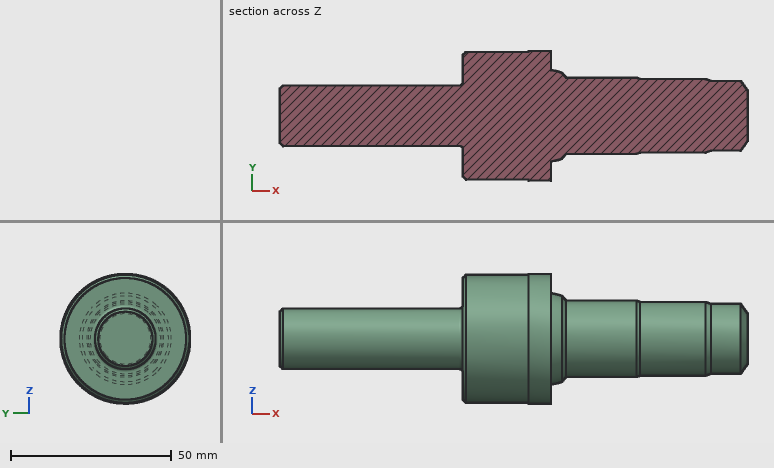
import cadquery as cq

shank_radius = 9.5
shank_chamfer = 1.0
shank_root_fillet = 1.0

body_start = 57.1
body_radius = 20.0
body_chamfer = 1.0
flange_start = 77.5
flange_end = 84.7
flange_radius = 20.3

shoulder_end = 88.0
shoulder_base_radius = 14.3
shoulder_tip_radius = 13.5
shoulder_bulge = 0.1

spigot_start = 89.4
large_radius = 12.0
large_end = 111.3
middle_start = 112.5
middle_radius = 11.5
middle_end = 132.9
small_start = 134.5
small_radius = 11.0
total_length = 146.0
tip_length = 2.2
tip_radius = 7.9


def middle_of_bulged_line(start, end, bulge):
    """Midpoint of a line, raised away from the axis to define a shallow arc."""
    return ((start[0] + end[0]) / 2, (start[1] + end[1]) / 2 + bulge)


shoulder_base = (flange_end, shoulder_base_radius)
shoulder_tip = (shoulder_end, shoulder_tip_radius)

profile = (
    cq.Workplane("XY")
    .moveTo(0, 0)
    .lineTo(0, shank_radius - shank_chamfer)
    .lineTo(shank_chamfer, shank_radius)
    .lineTo(body_start - shank_root_fillet, shank_radius)
    .radiusArc((body_start, shank_radius + shank_root_fillet), -shank_root_fillet)
    .lineTo(body_start, body_radius - body_chamfer)
    .lineTo(body_start + body_chamfer, body_radius)
    .lineTo(flange_start, body_radius)
    .lineTo(flange_start, flange_radius)
    .lineTo(flange_end, flange_radius)
    .lineTo(*shoulder_base)
    .threePointArc(middle_of_bulged_line(shoulder_base, shoulder_tip, shoulder_bulge), shoulder_tip)
    .lineTo(spigot_start, large_radius)
    .lineTo(large_end, large_radius)
    .lineTo(middle_start, middle_radius)
    .lineTo(middle_end, middle_radius)
    .lineTo(small_start, small_radius)
    .lineTo(total_length - tip_length, small_radius)
    .lineTo(total_length, tip_radius)
    .lineTo(total_length, 0)
    .close()
)
result = profile.revolve(360, (0, 0, 0), (1, 0, 0))